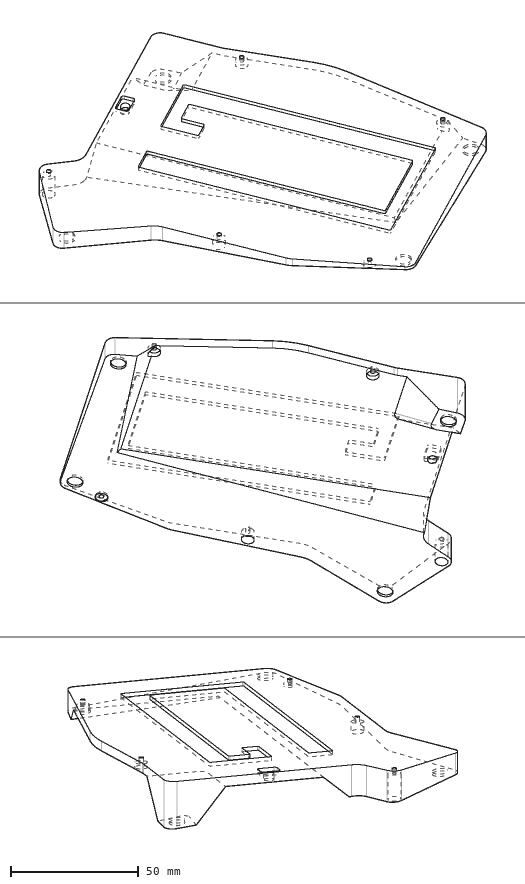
import cadquery as cq
import math

LENGTH = 157.17
DEPTH = 127.57
HEIGHT = 19.44

OVERSHOOT = 20.0
FULL_DROP = HEIGHT + OVERSHOOT

LEFT_EDGE_X = 14.1
BACK_EDGE_Y = 122.55
FRONT_EDGE_Y = 16.95
OUTER_RADIUS = 4.0
BLEND_RADIUS = 10.0
LEFT_BLEND_RADIUS = 6.0
CREST_RADIUS = 45.0
OUTLINE_CORNERS = [
    (LEFT_EDGE_X, BACK_EDGE_Y, OUTER_RADIUS),
    (42.9, BACK_EDGE_Y, BLEND_RADIUS),
    (86.3, 128.144, CREST_RADIUS),
    (LENGTH, 114.18, OUTER_RADIUS),
    (LENGTH, 29.2, OUTER_RADIUS),
    (109.9, FRONT_EDGE_Y, BLEND_RADIUS),
    (54.6, FRONT_EDGE_Y, BLEND_RADIUS),
    (18.5, -1.281, OUTER_RADIUS),
    (-1.469, 33.5, OUTER_RADIUS),
    (LEFT_EDGE_X, 42.5, LEFT_BLEND_RADIUS),
]

TENT_ANGLE = 4.0
TILT_ANGLE = 5.0
WALL_ANGLE = 45.0

PLATE_THICKNESS = 4.0
CLEARANCE_LEFT = 38.4
CLEARANCE_RIGHT = 138.7
CLEARANCE_FRONT = 57.7
CLEARANCE_BACK = 98.3
FOOT_CORNER_RADIUS = 4.0

CHANNEL_DEPTH = 1.6
CHANNEL_LEFT = 35.8
CHANNEL_RIGHT = 141.4
CHANNEL_FRONT = 46.2
CHANNEL_BACK = 97.3
ISLAND_LEFT = 41.75
ISLAND_RIGHT = 135.5
ISLAND_FRONT = 56.15
ISLAND_BACK = 87.35
HOOK_RIGHT = 51.65
HOOK_FRONT = 71.5
HOOK_BACK = 78.45
CHANNEL_CORNER_RADIUS = 0.5

SCREW_DIAMETER = 1.8
SCREW_POINTS = [(51.6, 120.3), (138.1, 114.1), (139.6, 27.6), (79.2, 20.7), (3.8, 31.8)]
SCREW_HEAD_DIAMETER = 5.0
SCREW_SEAT_THICKNESS = 2.0

BUMPER_DIAMETER = 6.2
BUMPER_DEPTH = 1.0
BUMPER_POINTS = [(20.3, 116.3), (151.5, 109.5), (151.6, 33.5), (20.8, 6.8)]

PORT_CENTER = (18.2, 78.9)
RECESS_WIDTH = 5.5
RECESS_LENGTH = 8.0
RECESS_RADIUS = 1.0
RECESS_DEPTH = 1.6
PORT_WIDTH = 3.5
PORT_LENGTH = 4.2


def slope(degrees):
    return math.tan(math.radians(degrees))


def make_outline_prism():
    """Plan outline extruded past the full height, with its corners rounded."""
    points = [(x, y) for x, y, _ in OUTLINE_CORNERS]
    prism = cq.Workplane("XY").polyline(points).close().extrude(-FULL_DROP)
    for x, y, radius in OUTLINE_CORNERS:
        corner = cq.selectors.NearestToPointSelector((x, y, -FULL_DROP / 2))
        prism = prism.edges("|Z").edges(corner).fillet(radius)
    return prism


def underside_plane(x, y):
    """Plane of the sloping underside, with its origin below plan point (x, y) and facing up.

    The lowest point of the part lies on the rounded back left corner.
    """
    tent_rise = slope(TENT_ANGLE)
    tilt_fall = slope(TILT_ANGLE)
    steepest = math.hypot(tent_rise, tilt_fall)
    lowest_x = LEFT_EDGE_X + OUTER_RADIUS * (1 - tent_rise / steepest)
    lowest_y = BACK_EDGE_Y - OUTER_RADIUS * (1 - tilt_fall / steepest)
    z = -HEIGHT + (x - lowest_x) * tent_rise - (y - lowest_y) * tilt_fall
    return cq.Plane(origin=(x, y, z), xDir=(1, 0, tent_rise), normal=(-tent_rise, tilt_fall, 1))


def make_wedge():
    """Block that holds everything above the sloping underside."""
    wedge_size = 2 * (LENGTH + DEPTH)
    underside = cq.Workplane(underside_plane(LENGTH / 2, DEPTH / 2))
    return underside.rect(wedge_size, wedge_size).extrude(wedge_size)


def trapezoid_prism(plane, ceiling_start, ceiling_end, start_wall, end_wall, extrude_range):
    """Prism with a flat ceiling under the plate and walls that spread downward.

    A wall angle of None leaves that side upright.
    """
    start_run = 0 if start_wall is None else FULL_DROP / slope(start_wall)
    end_run = 0 if end_wall is None else FULL_DROP / slope(end_wall)
    ceiling_z = -PLATE_THICKNESS
    bottom_z = ceiling_z - FULL_DROP
    profile = [
        (ceiling_start, ceiling_z),
        (ceiling_end, ceiling_z),
        (ceiling_end + end_run, bottom_z),
        (ceiling_start - start_run, bottom_z),
    ]
    near, far = extrude_range
    return cq.Workplane(plane).workplane(offset=near).polyline(profile).close().extrude(far - near)


def make_clearance():
    """L-shaped clearance under the plate, open at the left edge and at the back edge."""
    left_wall = WALL_ANGLE + TENT_ANGLE
    right_wall = WALL_ANGLE - TENT_ANGLE
    front_wall = WALL_ANGLE - TILT_ANGLE
    back_wall = WALL_ANGLE + TILT_ANGLE
    x_range = (-OVERSHOOT, LENGTH + OVERSHOOT)
    y_range = (-DEPTH - OVERSHOOT, OVERSHOOT)

    left_passage = trapezoid_prism(
        "YZ", CLEARANCE_FRONT, CLEARANCE_BACK, front_wall, back_wall, x_range
    ).intersect(trapezoid_prism("XZ", -OVERSHOOT, CLEARANCE_RIGHT, None, right_wall, y_range))
    back_passage = trapezoid_prism(
        "YZ", CLEARANCE_FRONT, DEPTH + OVERSHOOT, front_wall, None, x_range
    ).intersect(trapezoid_prism("XZ", CLEARANCE_LEFT, CLEARANCE_RIGHT, left_wall, right_wall, y_range))

    half_drop = FULL_DROP / 2
    foot_corner = (
        CLEARANCE_LEFT - half_drop / slope(left_wall),
        CLEARANCE_BACK + half_drop / slope(back_wall),
        -PLATE_THICKNESS - half_drop,
    )
    clearance = left_passage.union(back_passage)
    foot_edge = cq.selectors.NearestToPointSelector(foot_corner)
    return clearance.edges(foot_edge).fillet(FOOT_CORNER_RADIUS)


def make_channel():
    """C-shaped channel around the island, with a short hook at its back left end."""
    path = [
        (CHANNEL_LEFT, CHANNEL_FRONT),
        (CHANNEL_RIGHT, CHANNEL_FRONT),
        (CHANNEL_RIGHT, CHANNEL_BACK),
        (CHANNEL_LEFT, CHANNEL_BACK),
        (CHANNEL_LEFT, HOOK_FRONT),
        (HOOK_RIGHT, HOOK_FRONT),
        (HOOK_RIGHT, HOOK_BACK),
        (ISLAND_LEFT, HOOK_BACK),
        (ISLAND_LEFT, ISLAND_BACK),
        (ISLAND_RIGHT, ISLAND_BACK),
        (ISLAND_RIGHT, ISLAND_FRONT),
        (CHANNEL_LEFT, ISLAND_FRONT),
    ]
    channel = cq.Workplane("XY").polyline(path).close().extrude(-CHANNEL_DEPTH)
    return channel.edges("|Z").fillet(CHANNEL_CORNER_RADIUS)


def make_screw_holes():
    """Through holes with head counterbores rising from below to a common seat height."""
    points = cq.Workplane("XY").pushPoints(SCREW_POINTS)
    shanks = points.circle(SCREW_DIAMETER / 2).extrude(-FULL_DROP)
    seats = cq.Workplane("XY").workplane(offset=-SCREW_SEAT_THICKNESS).pushPoints(SCREW_POINTS)
    return shanks.union(seats.circle(SCREW_HEAD_DIAMETER / 2).extrude(-FULL_DROP))


def make_bumper_recesses():
    """Shallow round recesses for rubber feet, sunk square to the underside."""
    recesses = cq.Workplane("XY")
    for x, y in BUMPER_POINTS:
        seat = cq.Workplane(underside_plane(x, y)).circle(BUMPER_DIAMETER / 2)
        recesses = recesses.union(seat.extrude(BUMPER_DEPTH, both=True))
    return recesses


def make_port():
    """Rounded rectangular recess with a through slot at its center."""
    recess = cq.Workplane("XY").center(*PORT_CENTER).rect(RECESS_WIDTH, RECESS_LENGTH)
    recess = recess.extrude(-RECESS_DEPTH).edges("|Z").fillet(RECESS_RADIUS)
    slot = cq.Workplane("XY").center(*PORT_CENTER).slot2D(PORT_LENGTH, PORT_WIDTH, 90).extrude(-FULL_DROP)
    return recess.union(slot)


result = make_outline_prism().intersect(make_wedge())
cutters = (
    make_clearance(),
    make_channel(),
    make_screw_holes(),
    make_bumper_recesses(),
    make_port(),
)
for cutter in cutters:
    result = result.cut(cutter)